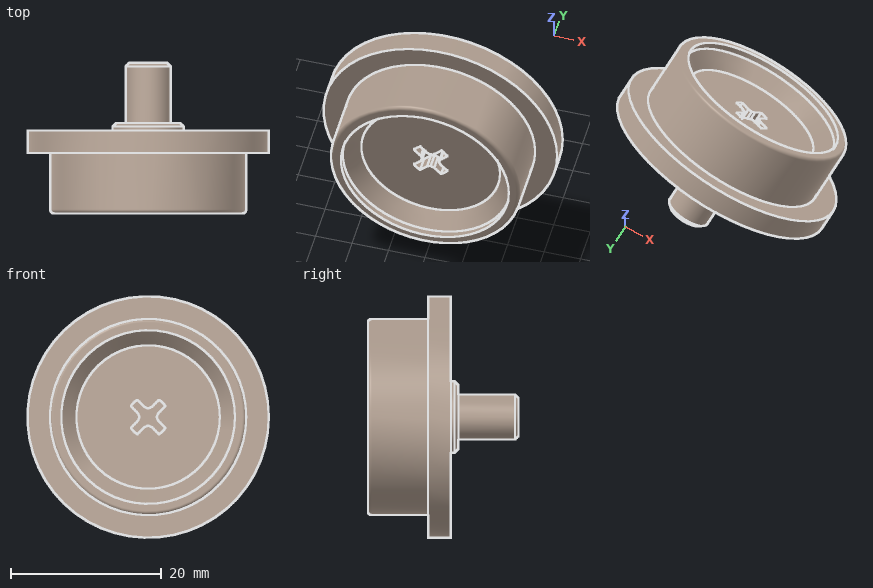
import cadquery as cq


flange_diameter = 32.0
flange_thickness = 3.0
cup_diameter = 26.0
cup_length = 8.0
rim_fillet = 0.5

recess_mouth_diameter = 23.0
recess_floor_diameter = 19.0
recess_depth = 3.0
recess_mouth_depth = 1.0

collar_diameter = 9.5
collar_height = 1.0
pin_diameter = 6.0
pin_length = 8.0
edge_chamfer = 0.5

socket_span = 5.4
socket_arm_width = 1.2
socket_flare_start = 1.3
socket_corner_offset = 0.8
socket_depth = 2.0
socket_angle = 45.0
socket_arm_count = 4

front_y = -(flange_thickness + cup_length)
recess_floor_y = front_y + recess_depth


def plane_at(y):
    """Plane at the given Y whose normal points toward +Y."""
    return cq.Plane(origin=(0, y, 0), xDir=(1, 0, 0), normal=(0, 1, 0))


def cylinder(diameter, start_y, length):
    """Cylinder on the Y axis, running toward +Y from start_y."""
    return cq.Workplane(plane_at(start_y)).circle(diameter / 2).extrude(length)


def make_cup():
    cup = cylinder(cup_diameter, front_y, cup_length)
    return cup.faces("<Y").edges().fillet(rim_fillet)


def make_recess():
    taper_start_y = front_y + recess_mouth_depth
    mouth = cylinder(recess_mouth_diameter, front_y, recess_mouth_depth)
    taper = (
        cq.Workplane(plane_at(taper_start_y))
        .circle(recess_mouth_diameter / 2)
        .workplane(offset=recess_floor_y - taper_start_y)
        .circle(recess_floor_diameter / 2)
        .loft(ruled=True)
    )
    return mouth.union(taper)


def make_rear_stud():
    collar = cylinder(collar_diameter, 0, collar_height)
    pin = cylinder(pin_diameter, collar_height, pin_length)
    collar = collar.faces(">Y").chamfer(edge_chamfer)
    pin = pin.faces(">Y").chamfer(edge_chamfer)
    return collar.union(pin)


def make_socket_arm():
    """One arm along +X, widening to meet its neighbours, its tip on a circle."""
    half_width = socket_arm_width / 2
    half_span = socket_span / 2
    blank = (
        cq.Workplane(plane_at(recess_floor_y))
        .polyline(
            [
                (0, 0),
                (socket_corner_offset, socket_corner_offset),
                (socket_flare_start, half_width),
                (half_span, half_width),
                (half_span, -half_width),
                (socket_flare_start, -half_width),
                (socket_corner_offset, -socket_corner_offset),
            ]
        )
        .close()
        .extrude(socket_depth)
    )
    return blank.intersect(cylinder(socket_span, recess_floor_y, socket_depth))


def make_socket():
    arm = make_socket_arm()
    socket = cq.Workplane()
    for index in range(socket_arm_count):
        angle = socket_angle + index * 360 / socket_arm_count
        socket = socket.add(arm.rotate((0, 0, 0), (0, 1, 0), angle))
    return socket.combine()


flange = cylinder(flange_diameter, -flange_thickness, flange_thickness)
body = flange.union(make_cup()).union(make_rear_stud())
result = body.cut(make_recess()).cut(make_socket())